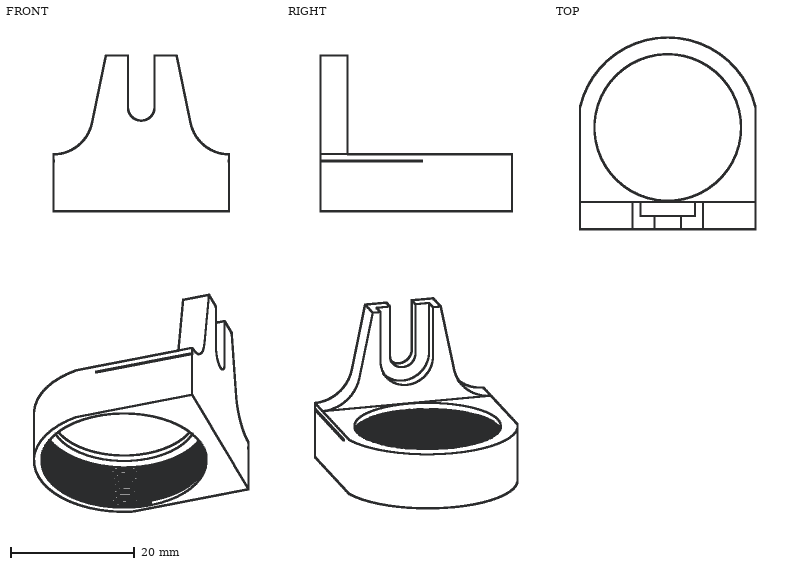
import cadquery as cq
import math

WIDTH = 28.45
TOTAL_LENGTH = 31.11
BODY_HEIGHT = 9.25
RING_RADIUS = 14.61
HALF_WIDTH = WIDTH / 2
BORE_CENTER_Y = TOTAL_LENGTH - RING_RADIUS
FLAT_END_Y = BORE_CENTER_Y + math.sqrt(RING_RADIUS**2 - HALF_WIDTH**2)

BORE_RADIUS = 11.87
LIP_HEIGHT = 1.1
THREAD_TOP = BODY_HEIGHT - LIP_HEIGHT

THREAD_CREST_RADIUS = 13.4
THREAD_PITCH = 0.635
FLANK_SLOPE = math.tan(math.radians(30))
THREAD_FLAT = THREAD_PITCH / 5
THREAD_DEPTH = (THREAD_PITCH / 2 - THREAD_FLAT) / FLANK_SLOPE
THREAD_OVERLAP = 0.02
THREAD_START_Z = 0.56

TOTAL_HEIGHT = 25.27
PLATE_THICKNESS = 4.45
TOP_HALF_WIDTH = 5.75
SIDE_FILLET_RADIUS = 6.35

SLOT_RADIUS = 2.14
SLOT_CENTER_Z = 16.85
RECESS_RADIUS = 4.43
RECESS_DEPTH = 2.3

GROOVE_HEIGHT = 0.1
GROOVE_DEPTH = 0.1


def make_body():
    """Ring body, still without its bore."""
    return (
        cq.Workplane("XY")
        .moveTo(-HALF_WIDTH, 0)
        .lineTo(HALF_WIDTH, 0)
        .lineTo(HALF_WIDTH, FLAT_END_Y)
        .threePointArc((0, TOTAL_LENGTH), (-HALF_WIDTH, FLAT_END_Y))
        .close()
        .extrude(BODY_HEIGHT)
    )


def make_plate():
    """Fork plate whose straight flanks run tangent into arcs that end level at the body's sides."""
    arc_center_z = BODY_HEIGHT + SIDE_FILLET_RADIUS
    rise = TOTAL_HEIGHT - arc_center_z
    run = HALF_WIDTH - TOP_HALF_WIDTH
    tangent_spread = math.acos(SIDE_FILLET_RADIUS / math.hypot(run, rise))
    tangent_angle = math.pi - math.atan2(rise, run) + tangent_spread
    bottom_angle = math.radians(270)
    middle_angle = (tangent_angle + bottom_angle) / 2

    def arc_point(angle, side):
        x = HALF_WIDTH + SIDE_FILLET_RADIUS * math.cos(angle)
        z = arc_center_z + SIDE_FILLET_RADIUS * math.sin(angle)
        return (side * x, z)

    return (
        cq.Workplane("XZ")
        .moveTo(-HALF_WIDTH, 0)
        .lineTo(HALF_WIDTH, 0)
        .lineTo(HALF_WIDTH, BODY_HEIGHT)
        .threePointArc(arc_point(middle_angle, 1), arc_point(tangent_angle, 1))
        .lineTo(TOP_HALF_WIDTH, TOTAL_HEIGHT)
        .lineTo(-TOP_HALF_WIDTH, TOTAL_HEIGHT)
        .lineTo(*arc_point(tangent_angle, -1))
        .threePointArc(arc_point(middle_angle, -1), (-HALF_WIDTH, BODY_HEIGHT))
        .close()
        .extrude(-PLATE_THICKNESS)
    )


def make_open_slot(radius, y_start, y_end):
    """Round-bottomed slot, open at the top of the plate."""
    return (
        cq.Workplane("XZ", origin=(0, y_start, 0))
        .moveTo(-radius, TOTAL_HEIGHT)
        .lineTo(-radius, SLOT_CENTER_Z)
        .threePointArc((0, SLOT_CENTER_Z - radius), (radius, SLOT_CENTER_Z))
        .lineTo(radius, TOTAL_HEIGHT)
        .close()
        .extrude(y_start - y_end)
    )


def make_bore_cylinder(radius, height):
    """Cylinder on the bore axis, standing on the bottom plane."""
    return cq.Workplane("XY").center(0, BORE_CENTER_Y).circle(radius).extrude(height)


def make_bore():
    bore = make_bore_cylinder(BORE_RADIUS, BODY_HEIGHT)
    threaded_stretch = make_bore_cylinder(THREAD_CREST_RADIUS, THREAD_TOP)
    return bore.union(threaded_stretch)


def make_thread_cutter():
    """Helical thread groove, cut off level at the lip."""
    helix_height = THREAD_TOP + THREAD_PITCH - THREAD_START_Z
    helix = cq.Wire.makeHelix(THREAD_PITCH, helix_height, THREAD_CREST_RADIUS)
    inner_radius = THREAD_CREST_RADIUS - THREAD_OVERLAP
    root_radius = THREAD_CREST_RADIUS + THREAD_DEPTH
    half_root = THREAD_FLAT / 2
    half_mouth = half_root + (root_radius - inner_radius) * FLANK_SLOPE
    groove = (
        cq.Workplane("XZ")
        .moveTo(inner_radius, -half_mouth)
        .lineTo(root_radius, -half_root)
        .lineTo(root_radius, half_root)
        .lineTo(inner_radius, half_mouth)
        .close()
        .sweep(cq.Workplane(helix), isFrenet=True)
        .translate((0, BORE_CENTER_Y, THREAD_START_Z))
    )
    return groove.intersect(make_bore_cylinder(RING_RADIUS, THREAD_TOP))


def make_side_groove(side):
    return (
        cq.Workplane("XY")
        .box(2 * GROOVE_DEPTH, BORE_CENTER_Y, GROOVE_HEIGHT)
        .translate((side * HALF_WIDTH, BORE_CENTER_Y / 2, THREAD_TOP))
    )


result = make_body().union(make_plate())
result = result.cut(make_open_slot(SLOT_RADIUS, 0, PLATE_THICKNESS))
result = result.cut(make_open_slot(RECESS_RADIUS, PLATE_THICKNESS - RECESS_DEPTH, PLATE_THICKNESS))
result = result.cut(make_bore())
result = result.cut(make_thread_cutter())
for side in (-1, 1):
    result = result.cut(make_side_groove(side))